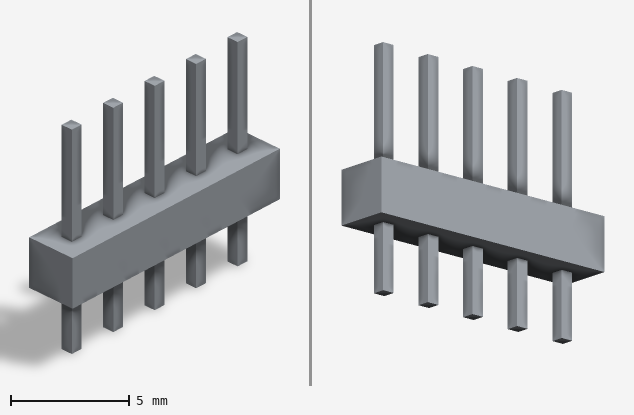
import cadquery as cq

pin_count = 5
pitch = 2.54
housing_width = pitch
housing_height = 2.48
pin_side = 0.6
pin_length = 11.0
pin_drop = 3.02


def square_bar(side, bottom, height, y):
    """Upright square bar centred at X = 0 and the given Y."""
    return (
        cq.Workplane("XY", origin=(0, y, bottom))
        .rect(side, side)
        .extrude(height)
    )


def make_pin(y):
    """Straight pin passing right through its housing."""
    return square_bar(pin_side, -pin_drop, pin_length, y)


def make_housing(y):
    """Housing block with a through hole that fits its pin."""
    block = square_bar(housing_width, 0, housing_height, y)
    pin_hole = square_bar(pin_side, 0, housing_height, y)
    return block.cut(pin_hole)


solids = []
for position in range(pin_count):
    y = (position - (pin_count - 1) / 2) * pitch
    solids.append(make_housing(y).val())
    solids.append(make_pin(y).val())

result = cq.Compound.makeCompound(solids)